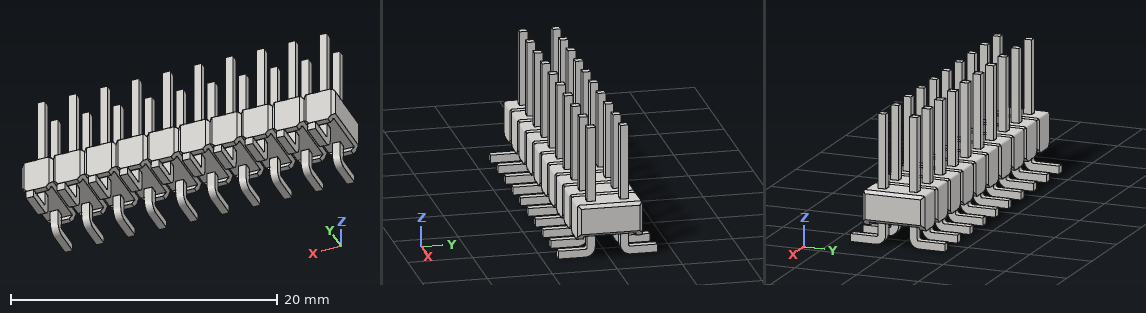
import cadquery as cq

positions = 10
pitch = 2.55
row_spacing = pitch
total_height = 10.2
foot_span = 7.62

pin_size = 0.64
bend_inner_radius = 0.15
bend_outer_radius = bend_inner_radius + pin_size

body_depth = 5.0
body_bottom = 1.63
body_top = 4.4
end_chamfer = 0.25
top_fillet = 0.2
bottom_chamfer = 0.5
rail_width = 0.5
rail_height = 0.28


def make_block():
    """One body block centred on the origin in X and Y, with a channel underneath along X."""
    height = body_top - body_bottom
    block = (
        cq.Workplane("XY")
        .workplane(offset=body_bottom)
        .rect(pitch, body_depth)
        .extrude(height)
        .edges("|Z")
        .chamfer(end_chamfer)
        .edges(">Z and |X")
        .fillet(top_fillet)
    )
    half_width = pitch / 2
    bottom_half_width = half_width - bottom_chamfer
    top_half_width = half_width - end_chamfer
    upper_shoulder = body_top - end_chamfer
    lower_shoulder = body_bottom + bottom_chamfer
    front_outline = (
        cq.Workplane("XZ")
        .moveTo(-bottom_half_width, body_bottom)
        .lineTo(bottom_half_width, body_bottom)
        .lineTo(half_width, lower_shoulder)
        .lineTo(half_width, upper_shoulder)
        .lineTo(top_half_width, body_top)
        .lineTo(-top_half_width, body_top)
        .lineTo(-half_width, upper_shoulder)
        .lineTo(-half_width, lower_shoulder)
        .close()
        .extrude(body_depth / 2, both=True)
    )
    channel = (
        cq.Workplane("XY")
        .workplane(offset=body_bottom)
        .rect(pitch, body_depth - 2 * rail_width)
        .extrude(rail_height)
    )
    return block.intersect(front_outline).cut(channel)


def make_pin():
    """Pin of the +Y row: an upright post whose foot bends out to +Y."""
    inner_side = (row_spacing - pin_size) / 2
    outer_side = inner_side + pin_size
    foot_tip = foot_span / 2
    pin = (
        cq.Workplane("YZ")
        .moveTo(inner_side, 0)
        .lineTo(foot_tip, 0)
        .lineTo(foot_tip, pin_size)
        .lineTo(outer_side, pin_size)
        .lineTo(outer_side, total_height)
        .lineTo(inner_side, total_height)
        .close()
        .extrude(pin_size / 2, both=True)
    )
    outer_corner = cq.NearestToPointSelector((0, inner_side, 0))
    inner_corner = cq.NearestToPointSelector((0, outer_side, pin_size))
    pin = pin.edges("|X").edges(outer_corner).fillet(bend_outer_radius)
    return pin.edges("|X").edges(inner_corner).fillet(bend_inner_radius)


pin = make_pin()
position = make_block().union(pin).union(pin.mirror("XZ"))

first_x = -pitch * (positions - 1) / 2
result = position.translate((first_x, 0, 0))
for index in range(1, positions):
    result = result.union(position.translate((first_x + index * pitch, 0, 0)))